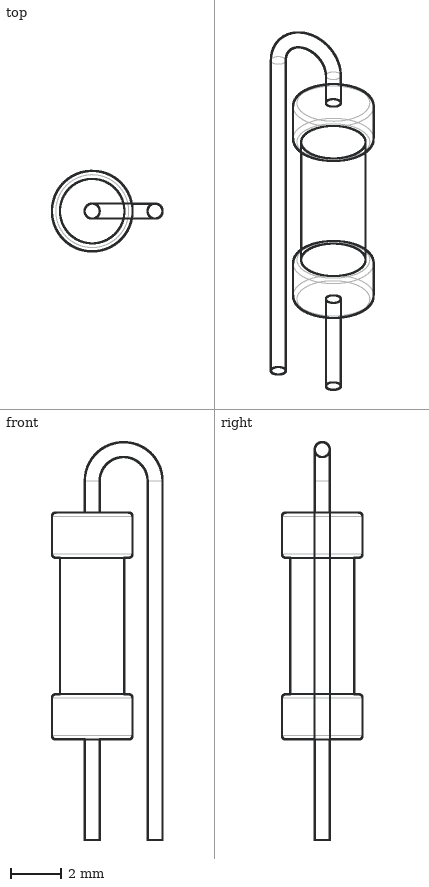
import cadquery as cq

total_height = 15.8

wire_diameter = 0.6
lead_spacing = 2.5
bend_radius = lead_spacing / 2
bend_height = total_height - bend_radius - wire_diameter / 2

body_diameter = 2.56
body_length = 9.0
body_bottom = 4.0
cap_diameter = 3.2
cap_length = 1.8
cap_fillet = 0.16


def upright_cylinder(diameter, bottom, length):
    """Cylinder on the body axis, standing on the given height."""
    return cq.Workplane("XY").workplane(offset=bottom).circle(diameter / 2).extrude(length)


def end_cap(bottom):
    """Cap with both rims rounded."""
    return upright_cylinder(cap_diameter, bottom, cap_length).edges().fillet(cap_fillet)


def wire():
    """One wire: up through the body, over a half-circle bend and back down."""
    path = (
        cq.Workplane("XZ")
        .lineTo(0, bend_height)
        .threePointArc((bend_radius, bend_height + bend_radius), (lead_spacing, bend_height))
        .lineTo(lead_spacing, 0)
    )
    return cq.Workplane("XY").circle(wire_diameter / 2).sweep(path)


result = upright_cylinder(body_diameter, body_bottom, body_length)
for cap_bottom in (body_bottom, body_bottom + body_length - cap_length):
    result = result.union(end_cap(cap_bottom))
result = result.union(wire())